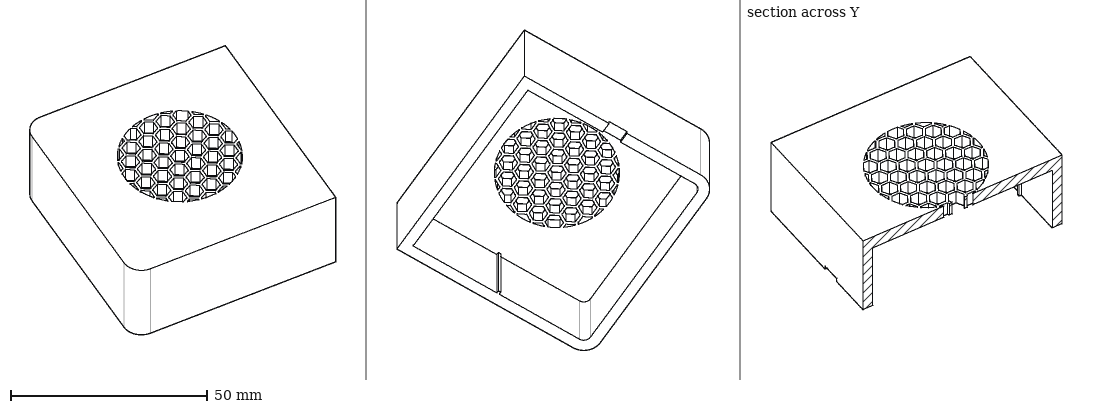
import cadquery as cq
import math

length = 60.1
depth = 58.4
height = 24.0
corner_radius = 5.05
top_thickness = 4.0
wall = 3.0
cavity_height = height - top_thickness

grille_x = -1.25
grille_y = 0.85
grille_diameter = 31.85
cell_flats = 4.0
web = 0.8
cell_pitch = cell_flats + web

notch_width = 5.4
notch_height = 1.0

rib_width = 0.7
rib_depth = 0.7
rib_y = grille_y - rib_width / 2


def make_shell():
    """Box with rounded front corners, hollowed from below."""
    body = cq.Workplane("XY").box(length, depth, height, centered=(True, True, False))
    body = body.edges("|Z and <Y").fillet(corner_radius)
    cavity = cq.Workplane("XY").box(
        length - 2 * wall, depth - 2 * wall, cavity_height, centered=(True, True, False)
    )
    cavity = cavity.edges("|Z and <Y").fillet(corner_radius - wall)
    return body.cut(cavity)


def cell_centers():
    """Honeycomb centres, in columns along Y, that can reach the grille circle."""
    column_pitch = cell_pitch * math.sqrt(3) / 2
    reach = (grille_diameter + cell_pitch) / 2
    columns = math.ceil(reach / column_pitch)
    rows = math.ceil(reach / cell_pitch)
    centers = []
    for column in range(-columns, columns + 1):
        stagger = cell_pitch / 2 if column % 2 else 0
        for row in range(-rows, rows + 1):
            x = column * column_pitch
            y = row * cell_pitch + stagger
            if math.hypot(x, y) < reach:
                centers.append((x, y))
    return centers


def make_grille_holes():
    """Hexagonal prisms trimmed to the grille circle."""
    plate = cq.Workplane("XY", origin=(grille_x, grille_y, cavity_height))
    cell_corners = cell_flats * 2 / math.sqrt(3)
    cells = plate.pushPoints(cell_centers()).polygon(6, cell_corners).extrude(top_thickness)
    disc = plate.circle(grille_diameter / 2).extrude(top_thickness)
    return cells.intersect(disc)


def make_notch():
    """Block that passes through the -X wall at its lower edge."""
    notch = cq.Workplane("XY").box(wall, notch_width, notch_height, centered=(False, True, False))
    return notch.translate((-length / 2, grille_y, 0))


def make_rib():
    """Upright rib on the inner face of the +X wall."""
    rib = cq.Workplane("XY").box(
        rib_depth + wall / 2, rib_width, cavity_height, centered=(False, True, False)
    )
    return rib.translate((length / 2 - wall - rib_depth, rib_y, 0))


result = make_shell().cut(make_grille_holes()).cut(make_notch()).union(make_rib())